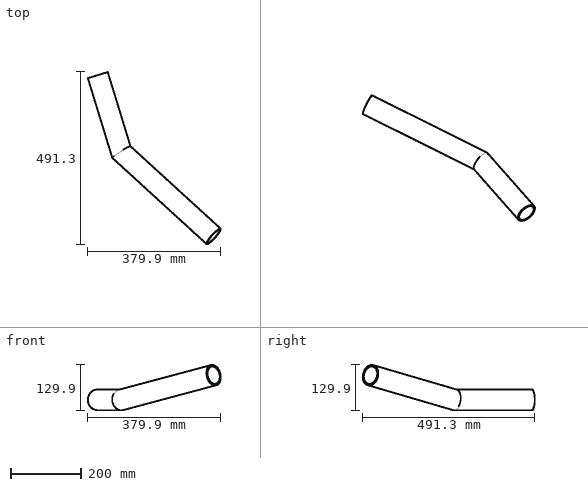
import cadquery as cq

outer_diameter = 60.0
inner_diameter = 50.0

level_leg = cq.Vector(67.5, -219.5, 0)
rising_leg = cq.Vector(263.0, -240.5, 70.5)

start = cq.Vector(0, 0, 0)
bend = start + level_leg
end = bend + rising_leg

centreline = cq.Workplane("XY").polyline([start.toTuple(), bend.toTuple(), end.toTuple()])
start_plane = cq.Plane(origin=start.toTuple(), normal=level_leg.toTuple())

ring = cq.Workplane(start_plane).circle(outer_diameter / 2).circle(inner_diameter / 2)
result = ring.sweep(centreline, transition="right")